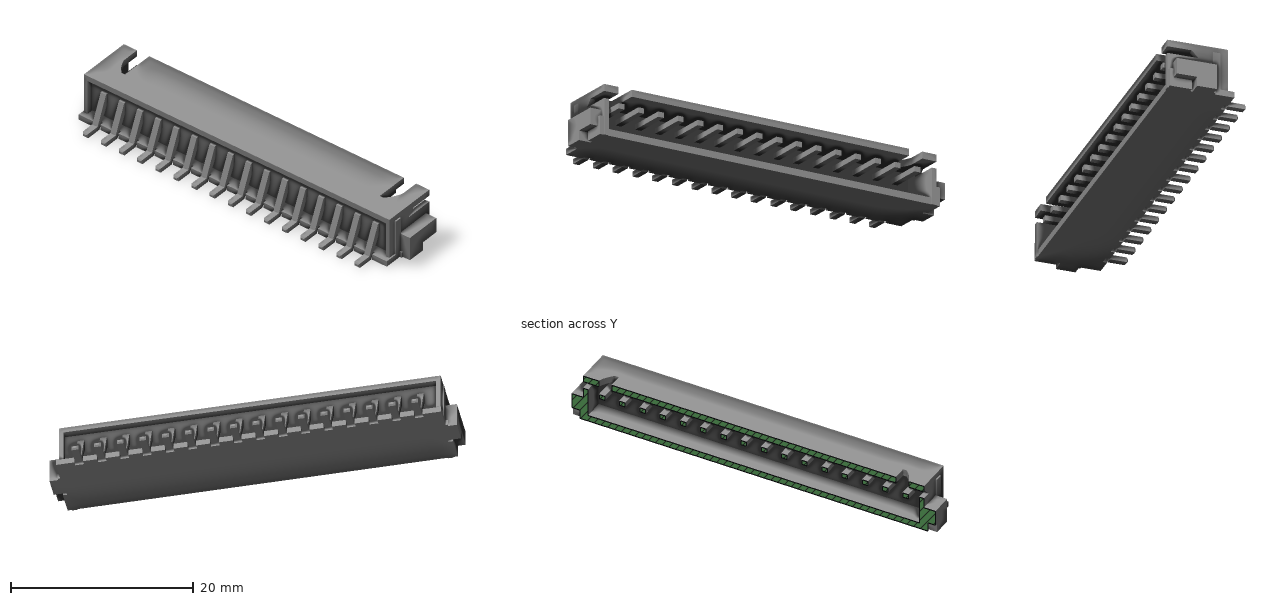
import cadquery as cq


PIN_COUNT = 16
PITCH = 2.54
PIN_WIDTH = 0.75
PIN_THICKNESS = 0.62
PIN_TOP = 4.12
PIN_TIP_DEPTH = 0.2
PIN_BEND_DEPTH = 6.57
FOOT_START_DEPTH = 8.07
FOOT_THICKNESS = 0.58
TOTAL_DEPTH = 9.905
FOOT_CHAMFER = 0.16

TOTAL_WIDTH = 45.69
HEIGHT = 5.92
BODY_WIDTH = 42.8
BODY_DEPTH = 7.05
LEDGE_DEPTH = 7.74
LEDGE_HEIGHT = 0.72
LEDGE_GAP_WIDTH = 0.97
LEDGE_GAP_START_DEPTH = 7.25
STEP_WIDTH = 43.18
WING_WIDTH = 43.76

END_WALL = 0.62
TOP_WALL = 0.82
FLOOR_THICKNESS = 0.8
FLOOR_SETBACK = 0.1
CAVITY_DEPTH = 5.0

RECESS_BORDER = 0.5
RECESS_TOP = 5.23
RECESS_DEPTH = 0.8

SLOT_BOTTOM = 4.28
SLOT_TOP = HEIGHT - TOP_WALL
SLOT_UPPER_DEPTH = 2.85
SLOT_LOWER_DEPTH = 3.62
NOTCH_INNER_X = 17.85
NOTCH_OUTER_X = 19.56
NOTCH_DEPTH = 4.26
NOTCH_STRAIGHT_DEPTH = 2.3
NOTCH_ARC_MIDDLE = (19.08, 3.38)
NOTCH_END_X = 18.33

RIB_FRONT_DEPTH = 5.24
RIB_REAR_DEPTH = 6.1
RIB_TOP = 5.23
WING_TOP = 2.2
WING_REAR_DEPTH = 2.67
TAB_FRONT_DEPTH = 0.58
TAB_LEG_DEPTH = 2.95
TAB_BOTTOM = 1.11
TAB_TOP = 3.05
WING_FOOT_REAR_DEPTH = 5.45


def block(x_min, x_max, depth_min, depth_max, z_min, z_max):
    """Box given by its limits, with Y given as depths behind the mating face."""
    size = (x_max - x_min, depth_max - depth_min, z_max - z_min)
    return cq.Workplane("XY").box(*size, centered=False).translate((x_min, -depth_max, z_min))


def centered_block(width, depth_min, depth_max, z_min, z_max):
    """Box symmetric about X = 0."""
    return block(-width / 2, width / 2, depth_min, depth_max, z_min, z_max)


def side_prism(profile, x_center, width):
    """Extrude a (depth, z) outline symmetrically about x_center."""
    points = [(-depth, z) for depth, z in profile]
    sketch = cq.Workplane("YZ").workplane(offset=x_center - width / 2)
    return sketch.polyline(points).close().extrude(width)


def make_notch():
    """Cutter for the notch in the top wall at the +X end."""
    return (
        cq.Workplane("XY")
        .workplane(offset=SLOT_BOTTOM)
        .moveTo(NOTCH_INNER_X, 0)
        .lineTo(NOTCH_OUTER_X, 0)
        .lineTo(NOTCH_OUTER_X, -NOTCH_STRAIGHT_DEPTH)
        .threePointArc((NOTCH_ARC_MIDDLE[0], -NOTCH_ARC_MIDDLE[1]), (NOTCH_END_X, -NOTCH_DEPTH))
        .lineTo(NOTCH_INNER_X, -NOTCH_DEPTH)
        .close()
        .extrude(HEIGHT - SLOT_BOTTOM)
    )


def make_end_slots():
    """Cutter for the slots through both end walls, each with a sloped inner end."""
    profile = [
        (0, SLOT_BOTTOM),
        (SLOT_LOWER_DEPTH, SLOT_BOTTOM),
        (SLOT_UPPER_DEPTH, SLOT_TOP),
        (0, SLOT_TOP),
    ]
    return side_prism(profile, 0, BODY_WIDTH)


def make_housing():
    """Shroud with its mating cavity, rear recess, ledge, slots and notches."""
    cavity_width = BODY_WIDTH - 2 * END_WALL
    recess_width = BODY_WIDTH - 2 * RECESS_BORDER
    recess_floor = BODY_DEPTH - RECESS_DEPTH
    housing = centered_block(BODY_WIDTH, 0, BODY_DEPTH, 0, HEIGHT)
    housing = housing.union(centered_block(STEP_WIDTH, RIB_FRONT_DEPTH, RIB_REAR_DEPTH, 0, RIB_TOP))
    housing = housing.union(centered_block(STEP_WIDTH, RIB_FRONT_DEPTH, LEDGE_DEPTH, 0, LEDGE_HEIGHT))
    housing = housing.cut(centered_block(cavity_width, 0, CAVITY_DEPTH, FLOOR_THICKNESS, SLOT_TOP))
    housing = housing.cut(centered_block(cavity_width, 0, FLOOR_SETBACK, 0, FLOOR_THICKNESS))
    housing = housing.cut(centered_block(recess_width, recess_floor, BODY_DEPTH, LEDGE_HEIGHT, RECESS_TOP))
    notch = make_notch()
    return housing.cut(make_end_slots()).cut(notch).cut(notch.mirror("YZ"))


def make_end_mount():
    """Wing, wing foot and solder tab at the +X end."""
    root_x = BODY_WIDTH / 2 - END_WALL / 2
    wing_x = WING_WIDTH / 2
    tab_x = TOTAL_WIDTH / 2
    mount = block(root_x, wing_x, FLOOR_SETBACK, WING_REAR_DEPTH, 0, WING_TOP)
    mount = mount.union(block(root_x, wing_x, TAB_LEG_DEPTH, WING_FOOT_REAR_DEPTH, 0, LEDGE_HEIGHT))
    mount = mount.union(block(root_x, tab_x, TAB_FRONT_DEPTH, RIB_FRONT_DEPTH, TAB_BOTTOM, TAB_TOP))
    return mount.union(block(root_x, tab_x, TAB_LEG_DEPTH, RIB_FRONT_DEPTH, 0, TAB_BOTTOM))


def make_pin(x_center):
    """Bent contact: straight mating length, sloped tail and flat solder foot."""
    profile = [
        (PIN_TIP_DEPTH, PIN_TOP),
        (PIN_BEND_DEPTH, PIN_TOP),
        (FOOT_START_DEPTH, FOOT_THICKNESS),
        (TOTAL_DEPTH, FOOT_THICKNESS),
        (TOTAL_DEPTH, 0),
        (FOOT_START_DEPTH - PIN_THICKNESS / 2, 0),
        (PIN_BEND_DEPTH - PIN_THICKNESS, PIN_TOP - PIN_THICKNESS),
        (PIN_TIP_DEPTH, PIN_TOP - PIN_THICKNESS),
    ]
    pin = side_prism(profile, x_center, PIN_WIDTH)
    return pin.faces("<Y").edges().chamfer(FOOT_CHAMFER)


def make_connector():
    """Housing with both end mounts, ledge gaps and the row of contacts."""
    end_mount = make_end_mount()
    connector = make_housing().union(end_mount).union(end_mount.mirror("YZ"))
    first_pin_x = -(PIN_COUNT - 1) * PITCH / 2
    half_gap = LEDGE_GAP_WIDTH / 2
    for index in range(PIN_COUNT):
        pin_x = first_pin_x + index * PITCH
        gap = block(
            pin_x - half_gap, pin_x + half_gap, LEDGE_GAP_START_DEPTH, LEDGE_DEPTH, 0, LEDGE_HEIGHT
        )
        connector = connector.cut(gap).union(make_pin(pin_x))
    return connector


result = make_connector()